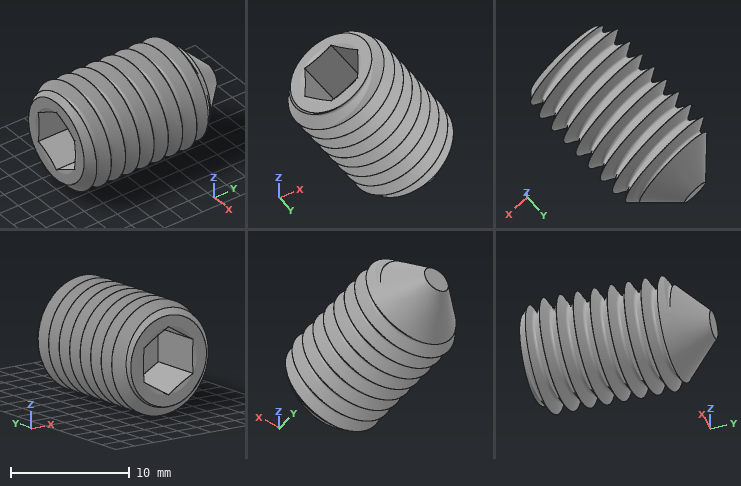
import cadquery as cq
import math

length = 16
thread_diameter = 10.0
thread_radius = thread_diameter / 2
pitch = length * 3 / 32
flank_angle = 30
root_arc_radius = 0.14 * pitch
crest_flat = 0.02
run_out_turns = 3
crest_position = 2.1
face_radius = 3.98
tip_radius = 1.25
crest_clearance = 0.32
socket_corner_radius = 2.98
socket_depth = 5.0
socket_chamfer_angle = 15


def make_envelope():
    """Finished outline with a 45 degree face chamfer and a 45 degree cone point."""
    envelope_radius = thread_radius + crest_clearance
    chamfer = envelope_radius - face_radius
    cone_length = envelope_radius - tip_radius
    outline = [
        (0, 0),
        (face_radius, 0),
        (envelope_radius, chamfer),
        (envelope_radius, length - cone_length),
        (tip_radius, length),
        (0, length),
    ]
    return cq.Workplane("XY").polyline(outline).close().revolve(360, (0, 0), (0, 1))


def make_groove():
    """Helical groove with straight flanks and a rounded root, running out past both ends."""
    angle = math.radians(flank_angle)
    apex_radius = thread_radius - (pitch - crest_flat) / 2 / math.tan(angle)
    arc_centre = apex_radius + root_arc_radius / math.sin(angle)
    tangent_radius = arc_centre - root_arc_radius * math.sin(angle)
    tangent_half_width = root_arc_radius * math.cos(angle)
    mouth_half_width = pitch / 2 - crest_flat / 4
    mouth_radius = apex_radius + mouth_half_width / math.tan(angle)
    profile = (
        cq.Workplane("XZ")
        .moveTo(mouth_radius, -mouth_half_width)
        .lineTo(tangent_radius, -tangent_half_width)
        .threePointArc((arc_centre - root_arc_radius, 0), (tangent_radius, tangent_half_width))
        .lineTo(mouth_radius, mouth_half_width)
        .close()
    )
    start = crest_position - (run_out_turns + 0.5) * pitch
    helix = cq.Wire.makeHelix(pitch, length + run_out_turns * pitch, thread_radius)
    groove = profile.sweep(cq.Workplane(helix), isFrenet=True)
    return groove.rotate((0, 0, 0), (1, 0, 0), -90).translate((0, start, 0))


def make_threaded_rod():
    """Threaded rod, overlong at both ends."""
    overhang = 2 * run_out_turns * pitch
    rod = cq.Workplane("XZ", origin=(0, -overhang, 0)).circle(thread_radius).extrude(-length - 2 * overhang)
    return rod.cut(make_groove())


def make_socket():
    """Hexagonal socket, corners on the Z axis, with a conical lead-in."""
    hexagon = (
        cq.Workplane("XZ")
        .transformed(rotate=(0, 0, 90))
        .polygon(6, 2 * socket_corner_radius)
        .extrude(-socket_depth)
    )
    cone_depth = socket_corner_radius * math.tan(math.radians(socket_chamfer_angle))
    lead_in = (
        cq.Workplane("XY")
        .polyline([(0, 0), (socket_corner_radius, 0), (0, cone_depth)])
        .close()
        .revolve(360, (0, 0), (0, 1))
    )
    return hexagon.union(lead_in)


result = make_threaded_rod().intersect(make_envelope()).cut(make_socket())